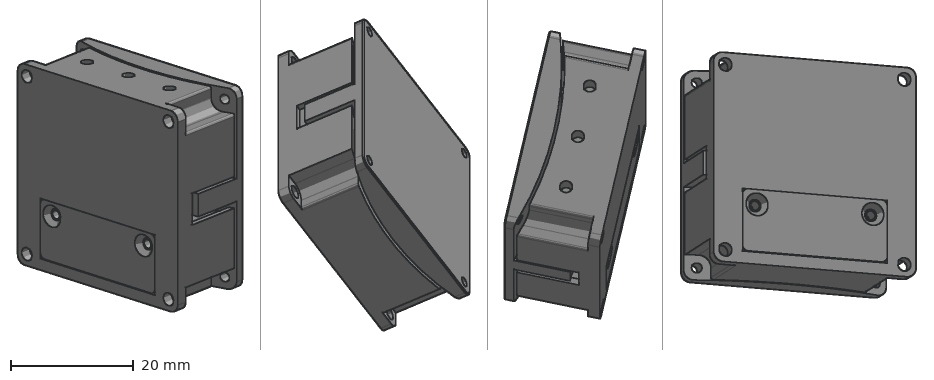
import cadquery as cq
import math

SIZE = 35.0
HALF = SIZE / 2
DEPTH = 16.0
CORNER_RADIUS = 1.58
WALL = 1.0

COVER_EDGE_Y = 14.35
COVER_CROWN_Y = 11.5
JOINT_GAP = 0.5

COVER_CHAMFER = 0.2
COVER_HOLE_DIAMETER = 1.6

TONGUE_HALF_HEIGHT = 2.0
TONGUE_END_Y = 4.97

FLANGE_THICKNESS = 2.0
FLANGE_HOLE_DIAMETER = 2.2
CORNER_HOLE_INSET = 2.03
CORNER_HOLE_POSITION = HALF - CORNER_HOLE_INSET
POCKET_DEPTH = 4.05
POCKET_RADIUS = 2.05
POCKET_EDGE_FILLET = 0.4
SLOT_TOP = 2.5
SLOT_BOTTOM = -3.0
SLOT_END_Y = 3.5

TOP_HOLE_DIAMETER = 2.03
TOP_HOLE_DEPTH = 3.0
TOP_HOLE_SPACING = 9.0
TOP_HOLE_Y = 7.5
DRILL_TIP_ANGLE = 118

HATCH_WIDTH = 25.0
HATCH_TOP = -5.0
RECESS_HEIGHT = 10.5
HATCH_BOTTOM_GAP = 0.15
HATCH_HEIGHT = RECESS_HEIGHT - HATCH_BOTTOM_GAP
HATCH_THICKNESS = 1.0
HATCH_CORNER_RADIUS = 0.88
SCREW_X = 10.0
SCREW_Z = HATCH_TOP - 2.5
SCREW_POSITIONS = [(-SCREW_X, SCREW_Z), (SCREW_X, SCREW_Z)]
SCREW_CLEARANCE = 2.0
COUNTERSINK_DIAMETER = 3.78
COUNTERSINK_ANGLE = 82
PILOT_DIAMETER = 1.5
PILOT_DEPTH = 3.0

CAVITY_HALF_WIDTH = HALF - WALL
CAVITY_FLOOR = HATCH_TOP + WALL
CAVITY_CEILING = HALF - POCKET_DEPTH - WALL

SAGITTA = COVER_EDGE_Y - COVER_CROWN_Y
JOINT_RADIUS = (HALF**2 + SAGITTA**2) / (2 * SAGITTA)
CORNER_POINTS = [
    (x, z)
    for x in (-CORNER_HOLE_POSITION, CORNER_HOLE_POSITION)
    for z in (-CORNER_HOLE_POSITION, CORNER_HOLE_POSITION)
]


def xz_plane(y):
    """Sketch plane at depth y whose local axes are +X and +Z; extrusions go toward the front."""
    return cq.Workplane("XZ", origin=(0, y, 0))


def block(x_range, y_range, z_range):
    lengths = [high - low for low, high in (x_range, y_range, z_range)]
    corner = (x_range[0], y_range[0], z_range[0])
    return cq.Workplane("XY").box(*lengths, centered=False).translate(corner)


def rounded_slab(front_y, back_y):
    return (
        xz_plane(back_y)
        .rect(SIZE, SIZE)
        .extrude(back_y - front_y)
        .edges("|Y")
        .fillet(CORNER_RADIUS)
    )


def joint_cylinder(crown_y):
    """Cylinder along Z whose foremost line lies at crown_y on the centre plane."""
    radius = JOINT_RADIUS + COVER_CROWN_Y - crown_y
    return (
        cq.Workplane("XY", origin=(0, 0, -HALF))
        .center(0, COVER_CROWN_Y + JOINT_RADIUS)
        .circle(radius)
        .extrude(SIZE)
    )


def drilled_hole(plane, diameter, depth):
    """Drill-shaped cutter: a cylinder that ends in a cone, entering along the plane's -Z."""
    radius = diameter / 2
    tip = radius / math.tan(math.radians(DRILL_TIP_ANGLE / 2))
    return (
        cq.Workplane("XZ")
        .polyline([(0, 0), (radius, 0), (radius, -depth), (0, -depth - tip)])
        .close()
        .revolve(360, (0, 0, 0), (0, 1, 0))
        .val()
        .moved(cq.Location(plane))
    )


def corner_pocket(side_fillet):
    """Screw access pocket at the +X +Z corner, behind the front flange.

    The edge of the pocket on the Z face is rounded; the edge on the X face only if side_fillet is set.
    """
    wall = HALF - POCKET_DEPTH
    fillet = POCKET_EDGE_FILLET
    outer = HALF + fillet
    mouth = wall - fillet
    outline = xz_plane(DEPTH)
    if side_fillet:
        outline = outline.moveTo(outer, mouth).lineTo(HALF, mouth).radiusArc((HALF - fillet, wall), -fillet)
    else:
        outline = outline.moveTo(outer, wall)
    return (
        outline.lineTo(wall + POCKET_RADIUS, wall)
        .radiusArc((wall, wall + POCKET_RADIUS), POCKET_RADIUS)
        .lineTo(wall, HALF - fillet)
        .radiusArc((mouth, HALF), -fillet)
        .lineTo(mouth, outer)
        .lineTo(outer, outer)
        .close()
        .extrude(DEPTH - FLANGE_THICKNESS)
    )


def hatch_plate(height):
    """Rectangular plate that hangs from the hatch's top edge, flush with the front face."""
    return (
        xz_plane(HATCH_THICKNESS)
        .center(0, HATCH_TOP - height / 2)
        .rect(HATCH_WIDTH, height)
        .extrude(HATCH_THICKNESS)
    )


def make_housing():
    body = rounded_slab(0, FLANGE_THICKNESS).union(
        block((-HALF, HALF), (FLANGE_THICKNESS, DEPTH), (-HALF, HALF))
    )
    body = body.cut(joint_cylinder(COVER_CROWN_Y - JOINT_GAP))

    upper_pocket = corner_pocket(side_fillet=True)
    lower_pocket = corner_pocket(side_fillet=False).mirror("XY")
    for pocket in (upper_pocket, lower_pocket):
        body = body.cut(pocket).cut(pocket.mirror("YZ"))
    body = body.cut(
        xz_plane(FLANGE_THICKNESS)
        .pushPoints(CORNER_POINTS)
        .circle(FLANGE_HOLE_DIAMETER / 2)
        .extrude(FLANGE_THICKNESS)
    )

    cavity = block(
        (-CAVITY_HALF_WIDTH, CAVITY_HALF_WIDTH),
        (FLANGE_THICKNESS, DEPTH),
        (CAVITY_FLOOR, CAVITY_CEILING),
    )
    side_slots = block((-HALF, HALF), (SLOT_END_Y, DEPTH), (SLOT_BOTTOM, SLOT_TOP))
    body = body.cut(cavity).cut(side_slots)

    for x in (-TOP_HOLE_SPACING, 0, TOP_HOLE_SPACING):
        top_plane = cq.Plane(origin=(x, TOP_HOLE_Y, HALF))
        body = body.cut(drilled_hole(top_plane, TOP_HOLE_DIAMETER, TOP_HOLE_DEPTH))

    body = body.cut(hatch_plate(RECESS_HEIGHT))
    for x, z in SCREW_POSITIONS:
        seat_plane = cq.Plane(origin=(x, HATCH_THICKNESS, z), xDir=(1, 0, 0), normal=(0, -1, 0))
        body = body.cut(drilled_hole(seat_plane, PILOT_DIAMETER, PILOT_DEPTH))
    return body


def make_tongue():
    """Bar across the housing with flat ends and a bowed front parallel to the joint."""
    bow_radius = JOINT_RADIUS + COVER_CROWN_Y - TONGUE_END_Y
    bow = bow_radius - math.sqrt(bow_radius**2 - CAVITY_HALF_WIDTH**2)
    return (
        cq.Workplane("XY", origin=(0, 0, -TONGUE_HALF_HEIGHT))
        .moveTo(-HALF, COVER_EDGE_Y)
        .lineTo(-HALF, TONGUE_END_Y)
        .lineTo(-CAVITY_HALF_WIDTH, TONGUE_END_Y)
        .threePointArc((0, TONGUE_END_Y - bow), (CAVITY_HALF_WIDTH, TONGUE_END_Y))
        .lineTo(HALF, TONGUE_END_Y)
        .lineTo(HALF, COVER_EDGE_Y)
        .close()
        .extrude(2 * TONGUE_HALF_HEIGHT)
    )


def make_cover():
    body = rounded_slab(0, DEPTH).faces(">Y").chamfer(COVER_CHAMFER)
    body = body.intersect(joint_cylinder(COVER_CROWN_Y)).union(make_tongue())
    return body.cut(
        xz_plane(DEPTH).pushPoints(CORNER_POINTS).circle(COVER_HOLE_DIAMETER / 2).extrude(DEPTH)
    )


def make_hatch():
    return (
        hatch_plate(HATCH_HEIGHT)
        .edges("|Y")
        .fillet(HATCH_CORNER_RADIUS)
        .faces("<Y")
        .workplane(origin=(0, 0, 0))
        .pushPoints(SCREW_POSITIONS)
        .cskHole(SCREW_CLEARANCE, COUNTERSINK_DIAMETER, COUNTERSINK_ANGLE)
    )


housing = make_housing()
cover = make_cover()
hatch = make_hatch()

result = cq.Compound.makeCompound([body.solids().val() for body in (housing, cover, hatch)])